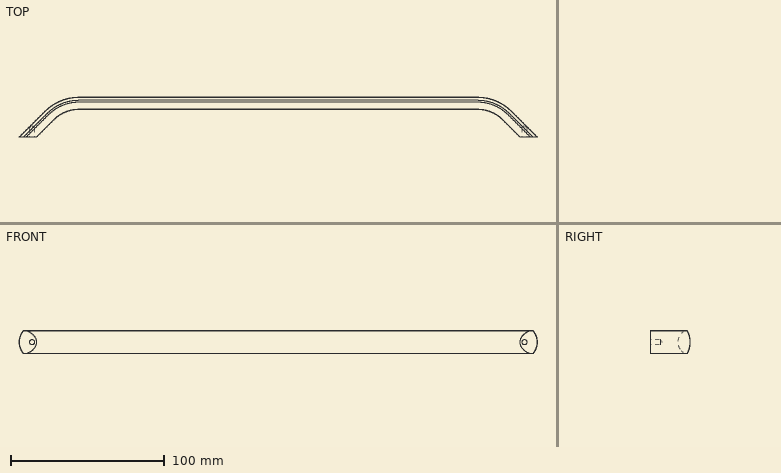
import cadquery as cq
import math

length = 337.0
reach = 26.0
height = 15.0

thickness = 8.0
back_rise = 2.0
edge_width = 1.2

leg_angle = 45.0
back_bend_radius = 31.0

hole_diameter = 3.3
hole_depth = 6.5
drill_point_angle = 118.0
hole_inset = 8.4

half_length = length / 2
angle = math.radians(leg_angle)
leg_run = reach - back_bend_radius * (1 - math.cos(angle))
bend_start_x = half_length - leg_run / math.tan(angle) - back_bend_radius * math.sin(angle)
bend_center_y = reach - back_bend_radius
extra_leg = thickness / math.tan(angle)
leg_length = leg_run / math.sin(angle) + extra_leg


def grip_section():
    """Closed profile in the YZ plane at X = 0, back surface at Y = reach."""
    half_height = height / 2
    back_edge = reach - back_rise
    front_edge = back_edge - edge_width
    return (
        cq.Workplane("YZ")
        .moveTo(back_edge, -half_height)
        .threePointArc((reach, 0), (back_edge, half_height))
        .lineTo(front_edge, half_height)
        .threePointArc((reach - thickness, 0), (front_edge, -half_height))
        .close()
    )


def half_bar():
    """Straight grip, bend and leg on the +X side."""
    grip = grip_section().extrude(bend_start_x)
    bend = (
        grip_section()
        .revolve(leg_angle, (bend_center_y, 1, 0), (bend_center_y, 0, 0))
        .translate((bend_start_x, 0, 0))
    )
    pivot = (bend_start_x, bend_center_y)
    leg = (
        grip_section()
        .extrude(leg_length)
        .translate((bend_start_x, 0, 0))
        .rotate((*pivot, 0), (*pivot, 1), -leg_angle)
    )
    return grip.union(bend).union(leg)


def trim_feet(bar):
    """Cut both legs flat at Y = 0."""
    waste = (
        cq.Workplane("XY")
        .box(2 * length, reach, 2 * height, centered=(True, False, True))
        .translate((0, -reach, 0))
    )
    return bar.cut(waste)


def screw_hole(side):
    """Drilled blind hole along +Y with a conical bottom, from the foot on the given side (-1 or 1)."""
    radius = hole_diameter / 2
    tip_depth = hole_depth + radius / math.tan(math.radians(drill_point_angle / 2))
    return (
        cq.Workplane("XY")
        .polyline([(0, 0), (radius, 0), (radius, hole_depth), (0, tip_depth)])
        .close()
        .revolve(360, (0, 0, 0), (0, 1, 0))
        .translate((side * (half_length - hole_inset), 0, 0))
    )


right_half = half_bar()
bar = trim_feet(right_half.union(right_half.mirror("YZ")))
for side in (-1, 1):
    bar = bar.cut(screw_hole(side))

result = bar